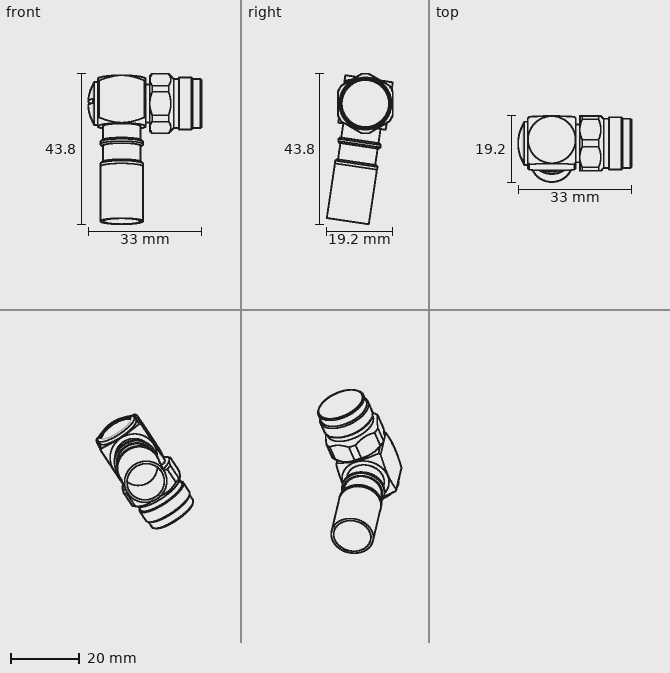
import cadquery as cq
import math

SWIVEL_ANGLE = 8.5

BLOCK_SIZE = 14.0
BLOCK_TOP = 7.3
BLOCK_BOTTOM = BLOCK_TOP - BLOCK_SIZE
BLOCK_EDGE_CHAMFER = 0.5
BLOCK_FACE_RADIUS = 6.9
BLOCK_BEVEL_ANGLE = 30.0

CAP_RADIUS = 6.3
CAP_RIM_LENGTH = 1.0
DOME_RADIUS = 5.35
DOME_BASE_X = -8.45
DOME_TIP_X = -9.81
SLOT_WIDTH = 1.2

NECK_RADIUS = 5.5
COLLAR_RADIUS = 6.25
COLLAR_BEVEL = 0.5
UPPER_COLLAR_START = 10.8
UPPER_COLLAR_LENGTH = 1.65
LOWER_COLLAR_START = 17.2
FERRULE_START = 18.5
FERRULE_RADIUS = 6.2
FERRULE_BORE_RADIUS = 5.45
STEM_END = 34.56

BLOCK_FACE_X = BLOCK_SIZE / 2
SPIGOT_RADIUS = 5.55
HEX_ACROSS_FLATS = 16.0
HEX_CORNER_RADIUS = 8.7
HEX_START_X = 8.2
HEX_BEVEL = 0.65
HEX_CORNER_END_X = 13.6
BARREL_RADIUS = 7.17
BARREL_START_X = 15.05
BAND_RADIUS = 7.6
BAND_START_X = 16.6
BAND_CORNER_START_X = 16.75
BAND_CORNER_END_X = 20.2
BAND_END_X = 20.6
COUPLING_END_X = 23.17
COUPLING_END_CHAMFER = 0.35


def revolve_about_x(points):
    """Solid of revolution about X from (x, radius) points that start and end on the axis."""
    return cq.Workplane("XY").polyline(points).close().revolve(360, (0, 0, 0), (1, 0, 0))


def revolve_about_z(points):
    """Solid of revolution about Z from (radius, z) points that start and end on the axis."""
    return cq.Workplane("XZ").polyline(points).close().revolve(360, (0, 0, 0), (0, 1, 0))


def make_block():
    block = (
        cq.Workplane("XY")
        .workplane(offset=BLOCK_BOTTOM)
        .rect(BLOCK_SIZE, BLOCK_SIZE)
        .extrude(BLOCK_SIZE)
        .edges("|Z")
        .chamfer(BLOCK_EDGE_CHAMFER)
    )
    outer_radius = BLOCK_SIZE
    drop = (outer_radius - BLOCK_FACE_RADIUS) * math.tan(math.radians(BLOCK_BEVEL_ANGLE))
    bevel_envelope = revolve_about_z([
        (0, BLOCK_BOTTOM),
        (BLOCK_FACE_RADIUS, BLOCK_BOTTOM),
        (outer_radius, BLOCK_BOTTOM + drop),
        (outer_radius, BLOCK_TOP - drop),
        (BLOCK_FACE_RADIUS, BLOCK_TOP),
        (0, BLOCK_TOP),
    ])
    return block.intersect(bevel_envelope)


def make_cap():
    dome_height = DOME_BASE_X - DOME_TIP_X
    sphere_radius = (DOME_RADIUS**2 + dome_height**2) / (2 * dome_height)
    mid_radius = DOME_RADIUS / 2
    mid_x = DOME_TIP_X + sphere_radius - math.sqrt(sphere_radius**2 - mid_radius**2)
    cap = (
        cq.Workplane("XY")
        .moveTo(-BLOCK_FACE_X, 0)
        .lineTo(-BLOCK_FACE_X, CAP_RADIUS)
        .lineTo(-BLOCK_FACE_X - CAP_RIM_LENGTH, CAP_RADIUS)
        .lineTo(DOME_BASE_X, DOME_RADIUS)
        .threePointArc((mid_x, mid_radius), (DOME_TIP_X, 0))
        .close()
        .revolve(360, (0, 0, 0), (1, 0, 0))
    )
    slot = (
        cq.Workplane("YZ")
        .workplane(offset=DOME_BASE_X)
        .rect(2 * CAP_RADIUS, SLOT_WIDTH)
        .extrude(-2 * dome_height)
    )
    return cap.cut(slot)


def make_stem():
    upper_end = UPPER_COLLAR_START + UPPER_COLLAR_LENGTH
    shoulder_radius = COLLAR_RADIUS - COLLAR_BEVEL
    return revolve_about_z([
        (0, BLOCK_BOTTOM),
        (NECK_RADIUS, BLOCK_BOTTOM),
        (NECK_RADIUS, -UPPER_COLLAR_START),
        (shoulder_radius, -UPPER_COLLAR_START),
        (COLLAR_RADIUS, -UPPER_COLLAR_START - COLLAR_BEVEL),
        (COLLAR_RADIUS, -upper_end + COLLAR_BEVEL),
        (shoulder_radius, -upper_end),
        (NECK_RADIUS, -upper_end),
        (NECK_RADIUS, -LOWER_COLLAR_START),
        (shoulder_radius, -LOWER_COLLAR_START),
        (COLLAR_RADIUS, -LOWER_COLLAR_START - COLLAR_BEVEL),
        (COLLAR_RADIUS, -FERRULE_START),
        (FERRULE_RADIUS, -FERRULE_START),
        (FERRULE_RADIUS, -STEM_END),
        (FERRULE_BORE_RADIUS, -STEM_END),
        (FERRULE_BORE_RADIUS, -FERRULE_START),
        (0, -FERRULE_START),
    ])


def make_elbow():
    elbow = make_block().union(make_cap()).union(make_stem())
    return elbow.rotate((0, 0, 0), (1, 0, 0), -SWIVEL_ANGLE)


def make_coupling():
    turned = revolve_about_x([
        (HEX_START_X, 0),
        (HEX_START_X, HEX_CORNER_RADIUS - HEX_BEVEL),
        (HEX_START_X + HEX_BEVEL, HEX_CORNER_RADIUS),
        (HEX_CORNER_END_X, HEX_CORNER_RADIUS),
        (BARREL_START_X, BARREL_RADIUS),
        (BAND_START_X, BARREL_RADIUS),
        (BAND_START_X, BAND_RADIUS - (BAND_CORNER_START_X - BAND_START_X)),
        (BAND_CORNER_START_X, BAND_RADIUS),
        (BAND_CORNER_END_X, BAND_RADIUS),
        (BAND_END_X, BARREL_RADIUS),
        (COUPLING_END_X - COUPLING_END_CHAMFER, BARREL_RADIUS),
        (COUPLING_END_X, BARREL_RADIUS - COUPLING_END_CHAMFER),
        (COUPLING_END_X, 0),
    ])
    hexagon = (
        cq.Workplane("YZ")
        .workplane(offset=HEX_START_X)
        .polygon(6, HEX_ACROSS_FLATS, circumscribed=True)
        .extrude(COUPLING_END_X - HEX_START_X)
    )
    spigot = (
        cq.Workplane("YZ")
        .workplane(offset=BLOCK_FACE_X)
        .circle(SPIGOT_RADIUS)
        .extrude(HEX_START_X - BLOCK_FACE_X)
    )
    return turned.intersect(hexagon).union(spigot)


elbow = make_elbow()
coupling = make_coupling()

result = cq.Compound.makeCompound([elbow.solids().val(), coupling.solids().val()])